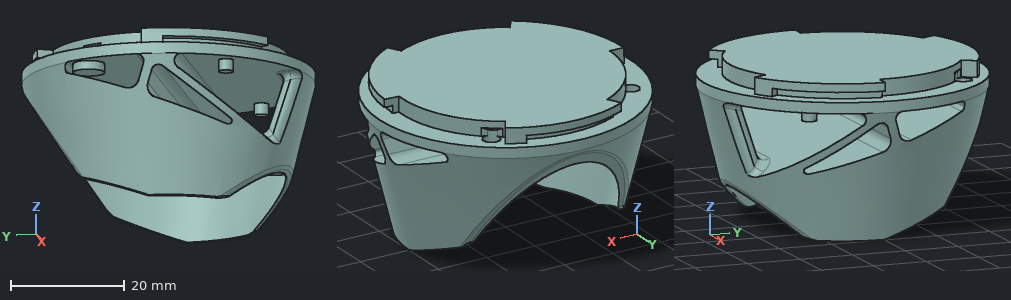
import cadquery as cq
import math


flange_radius = 26.0
flange_height = 2.05
body_depth = 24.25
body_bottom_radius = 20.0
skirt_wall = 1.1
reach = 31.2

back_trim_top = (26.0, -0.45)
back_trim_bottom = (13.9, -18.6)
lower_trim_top = (12.75, -19.8)
flat_back_y = 0.1
flat_front_y = -11.6
front_trim_bottom = (-13.3, -23.75)
front_trim_angle = 41.0
outer_rim_fillet = 1.35
inner_rim_fillet = 0.2

deck_slope = 0.345
deck_axis_z = -6.85
deck_thickness = 1.35

back_window_end_y = 14.8
upright_back_y = -0.55
upright_front_y = -2.4
brace_slope = 0.764
brace_axis_z = 2.25
brace_drop = 1.8
small_round = 0.85
window_round = 1.3
foot_round = 2.0
tip_round = 0.6

pillar_round = 1.5
pillar_bulge = 3.1
pillar_inner_y = -22.1
pillar_lean = 0.288
pillar_half_width = 7.1
pillar_spread = 0.147
pillar_depth = 16.65
pillar_foot_fillet = 1.55
pillar_head_fillet = 1.3

plug_height = 3.0
plug_radius = 21.25
tab_count = 3
tab_radius = 24.2
tab_thickness = 1.55
tab_neck_radius = 22.5
tab_start_angle = 58.5
tab_span = 58.0
stop_span = 9.0

hole_diameter = 3.2
hole_centre_radius = 22.15
hole_angles = (150.5, 52.2)
hole_rise = 1.05
hole_chamfer = 0.6
boss_diameter = 5.6
boss_height = 1.55
pin_diameter = 2.6
pin_height = 2.05
pin_x = 18.05
pin_y = -13.45


def polar(radius, angle):
    """Point at a radius and an angle in degrees."""
    return (radius * math.cos(math.radians(angle)), radius * math.sin(math.radians(angle)))


def across(points):
    """Extrude a (Y, Z) outline across the whole part along X."""
    return cq.Workplane("YZ").polyline(points).close().extrude(reach, both=True)


def round_corner(solid, corner, radius):
    """Fillet the X-running edge that passes through a (Y, Z) corner."""
    y, z = corner
    return solid.edges(cq.selectors.NearestToPointSelector((0, y, z))).fillet(radius)


def deck_z(y):
    """Height of the deck's upper face."""
    return deck_axis_z + deck_slope * y


def brace_z(y):
    """Height of the brace's upper face."""
    return brace_axis_z + brace_slope * y


def sector(radius, start, span, bottom, height):
    """Pie slice of a disc around the Z axis."""
    return (
        cq.Workplane("XY", origin=(0, 0, bottom))
        .lineTo(*polar(radius, start))
        .threePointArc(polar(radius, start + span / 2), polar(radius, start + span))
        .close()
        .extrude(height)
    )


def disc(x, y, diameter, bottom, height):
    """Upright cylinder."""
    return cq.Workplane("XY", origin=(x, y, bottom)).circle(diameter / 2).extrude(height)


def cone(inset):
    """Tapered body reduced by a horizontal inset."""
    top_radius = flange_radius - inset
    bottom_radius = body_bottom_radius - inset
    return (
        cq.Workplane("XZ")
        .polyline([(0, 0), (top_radius, 0), (bottom_radius, -body_depth), (0, -body_depth)])
        .close()
        .revolve(360, (0, 0, 0), (0, 1, 0))
    )


def trimmed_body():
    """Solid cone cut to the side outline."""
    front_y, front_z = front_trim_bottom
    front_rise = (front_y + reach) * math.tan(math.radians(front_trim_angle))
    outline = across([
        (back_trim_top[0], 0),
        back_trim_top,
        back_trim_bottom,
        lower_trim_top,
        (flat_back_y, -body_depth),
        (flat_front_y, -body_depth),
        front_trim_bottom,
        (-reach, front_z + front_rise),
        (-reach, 0),
    ])
    return cone(0).intersect(outline)


def hollow():
    """Cavity under the deck, open at the bottom."""
    below_deck = across([
        (-reach, -reach),
        (-reach, deck_z(-reach) - deck_thickness),
        (reach, deck_z(reach) - deck_thickness),
        (reach, -reach),
    ])
    return cone(skirt_wall).intersect(below_deck)


def trimmed_shell():
    """Trimmed cone with its hollow, and with rounded rims on the steep trim faces."""
    front_y = front_trim_bottom[0]
    back_y = back_trim_bottom[0]
    front_rim = cq.selectors.BoxSelector((-0.5, -reach, -body_depth), (0.5, front_y, -skirt_wall))
    back_rim = cq.selectors.BoxSelector((-0.5, back_y, -body_depth), (0.5, reach, -skirt_wall))
    body = trimmed_body()
    body = body.edges("%ELLIPSE").edges(front_rim + back_rim).fillet(outer_rim_fillet)
    body = body.cut(hollow())
    return body.edges(front_rim).edges("%ELLIPSE").fillet(inner_rim_fillet)


def upright_foot(top_y):
    """Meeting point of the deck and an upright face that is square to it."""
    y = (top_y - deck_slope * deck_axis_z) / (1 + deck_slope**2)
    return (y, deck_z(y))


def back_window():
    """Window between the back of the cone and the upright web."""
    foot = upright_foot(upright_back_y)
    end_top = (back_window_end_y, 0)
    end_bottom = (back_window_end_y, deck_z(back_window_end_y))
    top = (upright_back_y, 0)
    window = across([end_top, end_bottom, foot, top])
    for corner, radius in ((end_top, small_round), (end_bottom, small_round),
                           (foot, foot_round), (top, window_round)):
        window = round_corner(window, corner, radius)
    return window


def middle_window():
    """Pointed window between the upright web, the brace and the deck."""
    lower_brace_z = brace_axis_z - brace_drop
    foot = upright_foot(upright_front_y)
    top_y = (upright_front_y - deck_slope * lower_brace_z) / (1 + deck_slope * brace_slope)
    top = (top_y, brace_z(top_y) - brace_drop)
    tip_y = (deck_axis_z - lower_brace_z) / (brace_slope - deck_slope)
    tip = (tip_y, deck_z(tip_y))
    window = across([foot, top, tip])
    for corner, radius in ((foot, foot_round), (top, window_round), (tip, tip_round)):
        window = round_corner(window, corner, radius)
    return window


def pillar_section(depth):
    """Outline of the leaning pillar at a depth below the flange: flat inside, bulging in front."""
    half_width = pillar_half_width + pillar_spread * depth
    inner_y = pillar_inner_y + pillar_lean * depth
    straight = half_width - pillar_round
    middle_y = inner_y - pillar_round
    arc_x = straight + pillar_round * math.sqrt(0.5)
    arc_y = middle_y + pillar_round * math.sqrt(0.5)
    return (
        cq.Workplane("XY", origin=(0, 0, -depth))
        .moveTo(half_width, middle_y)
        .threePointArc((arc_x, arc_y), (straight, inner_y))
        .lineTo(-straight, inner_y)
        .threePointArc((-arc_x, arc_y), (-half_width, middle_y))
        .ellipseArc(half_width, pillar_bulge, 180, 360, sense=1)
        .close()
        .val()
    )


def pillar():
    """Leaning pillar that widens downwards."""
    return cq.Workplane(cq.Solid.makeLoft([pillar_section(0), pillar_section(pillar_depth)], True))


def front_window():
    """Window above the brace, open to the front on both sides of the pillar."""
    back_corner = (-brace_axis_z / brace_slope, 0)
    window = across([back_corner, (-reach, brace_z(-reach)), (-reach, 0)])
    window = round_corner(window, back_corner, window_round).cut(pillar())

    around_pillar = cq.selectors.BoxSelector(
        (-flange_radius / 2, -flange_radius, -flange_radius), (flange_radius / 2, -flange_radius / 2, 0.5)
    )
    brace_middle = (reach / 2, -reach / 2, brace_z(-reach / 2))
    head = window.faces(">Z").edges(around_pillar)
    window = head.fillet(pillar_head_fillet)
    foot = window.faces(cq.selectors.NearestToPointSelector(brace_middle)).edges(around_pillar)
    return foot.fillet(pillar_foot_fillet)


def plug_core():
    """Central disc with a bevelled recess in its side above each detent hole."""
    core = disc(0, 0, 2 * plug_radius, flange_height, plug_height)
    mouth_edges = cq.selectors.BoxSelector(
        (plug_radius - hole_chamfer / 2, -hole_diameter / 2, flange_height + hole_rise / 4),
        (plug_radius + hole_chamfer / 2, hole_diameter / 2, flange_height + hole_rise * 1.5),
    )
    for angle in hole_angles:
        core = core.rotate((0, 0, 0), (0, 0, 1), -angle)
        core = core.cut(disc(hole_centre_radius, 0, hole_diameter, flange_height, hole_rise))
        core = core.edges(mouth_edges).chamfer(hole_chamfer)
        core = core.rotate((0, 0, 0), (0, 0, 1), angle)
    return core


def plug():
    """Core with undercut bayonet tabs, each with a full-height stop at its start."""
    top = flange_height + plug_height
    solid = plug_core()
    for index in range(tab_count):
        start = tab_start_angle + index * 360 / tab_count
        solid = solid.union(sector(tab_radius, start, tab_span, top - tab_thickness, tab_thickness))
        solid = solid.union(sector(tab_neck_radius, start, tab_span, flange_height, plug_height))
        solid = solid.union(sector(tab_radius, start, stop_span, flange_height, plug_height))
    return solid


flange = cq.Workplane("XY").circle(flange_radius).extrude(flange_height)

body = trimmed_shell()
for window in (back_window(), middle_window(), front_window()):
    body = body.cut(window)

result = body.union(flange).union(plug())

for side in (-1, 1):
    result = result.union(disc(side * pin_x, pin_y, pin_diameter, -pin_height, pin_height))

boss_x, boss_y = polar(hole_centre_radius, hole_angles[0])
result = result.union(disc(boss_x, boss_y, boss_diameter, -boss_height, boss_height))

for angle in hole_angles:
    x, y = polar(hole_centre_radius, angle)
    result = result.cut(disc(x, y, hole_diameter, 0, flange_height + hole_rise))